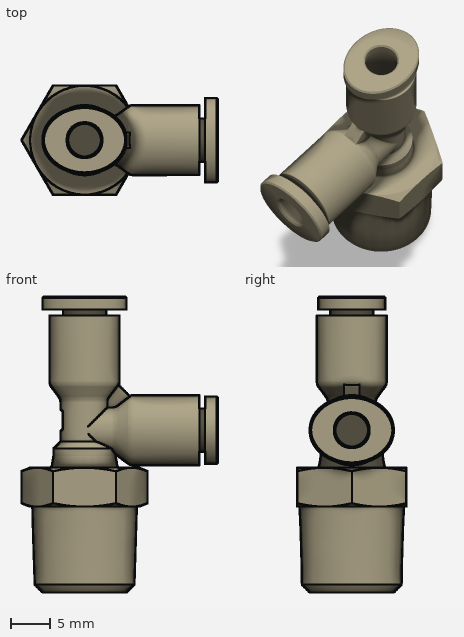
import cadquery as cq
import math

THREAD_LENGTH = 11.0
THREAD_BASE_RADIUS = 6.37
THREAD_HALF_TAPER = 1 / 32
STEM_CHAMFER = 1.05

HEX_ACROSS_FLATS = 14.0
HEX_HEIGHT = 5.0
HEX_FACE_RADIUS = 6.97
HEX_CORNER_DROP = 0.45

JUNCTION_Z = 20.8
NECK_RADIUS = 3.1
COLLAR_RADIUS = 4.0
COLLAR_FOOT_RADIUS = 4.2
COLLAR_FLARE_TOP = 17.45
COLLAR_FILLET = 0.25
COLLAR_TOP = 18.45

PORT_REACH = 17.1
PORT_RADIUS = 4.5
NECK_END = 3.97
PORT_BODY_START = 5.88
SHOULDER_FILLET = 1.0
PORT_BODY_END = 14.7
PORT_BODY_END_FILLET = 0.1
SLEEVE_RADIUS = 2.78
TUBE_HOLE_RADIUS = 2.1
TUBE_HOLE_CHAMFER = 0.2

BUTTON_HALF_LENGTH = 5.4
BUTTON_HALF_WIDTH = 4.32
BUTTON_THICKNESS = 1.65
BUTTON_CHAMFER = 0.2

GUSSET_THICKNESS = 2.0
GUSSET_REACH = 10.15

FLAT_OFFSET = 2.8
FLAT_BOTTOM = 20.94
FLAT_TOP = 23.2

HEX_TOP = THREAD_LENGTH + HEX_HEIGHT
CUT_OVERRUN = 1.0
SELECT_TOLERANCE = 0.01


def revolve_about_z(profile):
    """Revolve (radius, height) points about Z, closing the outline on the axis."""
    outline = [(0, profile[0][1])] + profile + [(0, profile[-1][1])]
    return cq.Workplane("XZ").polyline(outline).close().revolve(360, (0, 0, 0), (0, 1, 0))


def circle_at(height):
    """Select the circular edge centred on Z at the given height."""
    return cq.selectors.BoxSelector(
        (-SELECT_TOLERANCE, -SELECT_TOLERANCE, height - SELECT_TOLERANCE),
        (SELECT_TOLERANCE, SELECT_TOLERANCE, height + SELECT_TOLERANCE),
    )


def make_stem():
    chamfer_radius = THREAD_BASE_RADIUS + STEM_CHAMFER * THREAD_HALF_TAPER
    top_radius = THREAD_BASE_RADIUS + THREAD_LENGTH * THREAD_HALF_TAPER
    return revolve_about_z([
        (chamfer_radius - STEM_CHAMFER, 0),
        (chamfer_radius, STEM_CHAMFER),
        (top_radius, THREAD_LENGTH),
    ])


def make_hex():
    corner_radius = HEX_ACROSS_FLATS / math.sqrt(3)
    prism = (
        cq.Workplane("XY", origin=(0, 0, THREAD_LENGTH))
        .polygon(6, 2 * corner_radius)
        .extrude(HEX_HEIGHT)
    )
    corner_trim = revolve_about_z([
        (HEX_FACE_RADIUS, THREAD_LENGTH),
        (corner_radius, THREAD_LENGTH + HEX_CORNER_DROP),
        (corner_radius, HEX_TOP - HEX_CORNER_DROP),
        (HEX_FACE_RADIUS, HEX_TOP),
    ])
    return prism.intersect(corner_trim)


def make_collar():
    cone_height = COLLAR_RADIUS - NECK_RADIUS
    return revolve_about_z([
        (COLLAR_FOOT_RADIUS, HEX_TOP),
        (COLLAR_FOOT_RADIUS, HEX_TOP + COLLAR_FILLET),
        (COLLAR_RADIUS, COLLAR_FLARE_TOP),
        (COLLAR_RADIUS, COLLAR_TOP),
        (NECK_RADIUS, COLLAR_TOP + cone_height),
        (NECK_RADIUS, JUNCTION_Z),
    ])


def make_collar_fillet():
    """Concave ring blending the foot of the collar into the top of the hexagon."""
    centre_radius = COLLAR_FOOT_RADIUS + COLLAR_FILLET
    centre_height = HEX_TOP + COLLAR_FILLET
    arc_reach = COLLAR_FILLET * math.sqrt(0.5)
    return (
        cq.Workplane("XZ")
        .moveTo(0, HEX_TOP)
        .lineTo(centre_radius, HEX_TOP)
        .threePointArc(
            (centre_radius - arc_reach, centre_height - arc_reach),
            (COLLAR_FOOT_RADIUS, centre_height),
        )
        .lineTo(0, centre_height)
        .close()
        .revolve(360, (0, 0, 0), (0, 1, 0))
    )


def make_port():
    """Port along +Z from the origin, with the long button axis along X."""
    body = revolve_about_z([
        (NECK_RADIUS, 0),
        (NECK_RADIUS, NECK_END),
        (PORT_RADIUS, PORT_BODY_START),
        (PORT_RADIUS, PORT_BODY_END),
    ])
    body = (
        body.edges(circle_at(NECK_END)).fillet(SHOULDER_FILLET)
        .edges(circle_at(PORT_BODY_START)).fillet(SHOULDER_FILLET)
        .edges(circle_at(PORT_BODY_END)).fillet(PORT_BODY_END_FILLET)
    )
    sleeve = revolve_about_z([(SLEEVE_RADIUS, PORT_BODY_START), (SLEEVE_RADIUS, PORT_REACH)])
    button = (
        cq.Workplane("XY", origin=(0, 0, PORT_REACH - BUTTON_THICKNESS))
        .ellipse(BUTTON_HALF_LENGTH, BUTTON_HALF_WIDTH)
        .extrude(BUTTON_THICKNESS)
        .faces(">Z")
        .chamfer(BUTTON_CHAMFER)
    )
    return body.union(sleeve).union(button)


def make_tube_hole():
    return revolve_about_z([
        (TUBE_HOLE_RADIUS, PORT_BODY_START),
        (TUBE_HOLE_RADIUS, PORT_REACH - TUBE_HOLE_CHAMFER),
        (TUBE_HOLE_RADIUS + TUBE_HOLE_CHAMFER, PORT_REACH),
    ])


def make_gusset():
    """Triangular web filling the corner between the upright and side ports."""
    return (
        cq.Workplane("XZ")
        .polyline([(0, 0), (GUSSET_REACH, 0), (0, GUSSET_REACH)])
        .close()
        .extrude(GUSSET_THICKNESS / 2, both=True)
    )


def upright(port_shape):
    return port_shape.translate((0, 0, JUNCTION_Z))


def sideways(port_shape):
    """Turn +Z to +X and +X to +Y, so the long button axis lies along Y."""
    return upright(port_shape.rotate((0, 0, 0), (1, 1, 1), 120))


def make_flat_cutter():
    """Wedge-ended cutter whose end walls slope outward at 45 degrees."""
    outer = NECK_RADIUS + CUT_OVERRUN
    spread = outer - FLAT_OFFSET
    return (
        cq.Workplane("XZ")
        .polyline([
            (-FLAT_OFFSET, FLAT_BOTTOM),
            (-outer, FLAT_BOTTOM - spread),
            (-outer, FLAT_TOP + spread),
            (-FLAT_OFFSET, FLAT_TOP),
        ])
        .close()
        .extrude(NECK_RADIUS, both=True)
    )


result = make_stem().union(make_hex()).union(make_collar()).union(make_collar_fillet())
for place in (upright, sideways):
    result = result.union(place(make_port()))
result = result.union(upright(make_gusset()))
for place in (upright, sideways):
    result = result.cut(place(make_tube_hole()))
result = result.cut(make_flat_cutter())